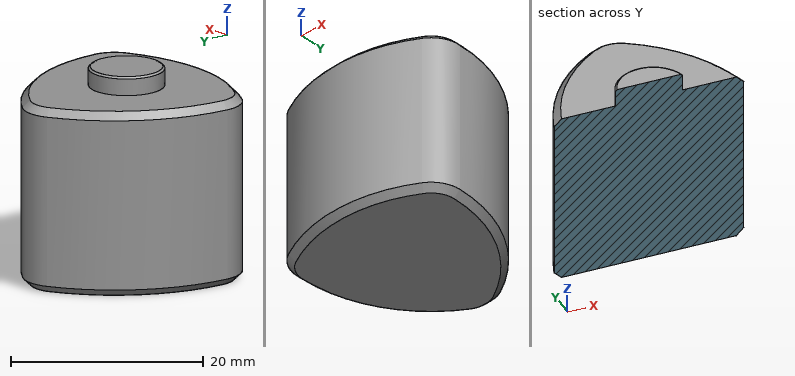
import cadquery as cq
import math

body_width = 23.1
corner_radius = 4.1
body_height = 20.0
body_chamfer = 0.8
pin_diameter = 8.0
pin_height = 2.0
pin_chamfer = 0.2

corner_spacing = body_width - 2 * corner_radius
corner_distance = corner_spacing / math.sqrt(3)
side_radius = body_width - corner_radius

corner_angles = [90, 210, 330]
half_side_angle = 30


def polar(center, radius, angle):
    """Point at a given radius and angle (degrees) from a center."""
    turn = math.radians(angle)
    return (center[0] + radius * math.cos(turn), center[1] + radius * math.sin(turn))


def rounded_reuleaux():
    """Closed outline of alternating corner and side arcs, counterclockwise."""
    centers = [polar((0, 0), corner_distance, angle) for angle in corner_angles]
    outline = cq.Workplane("XY").moveTo(
        *polar(centers[0], corner_radius, corner_angles[0] - half_side_angle)
    )
    for index, angle in enumerate(corner_angles):
        center = centers[index]
        opposite = centers[(index + 2) % 3]
        side_middle = corner_angles[(index + 2) % 3] + 180
        outline = outline.threePointArc(
            polar(center, corner_radius, angle),
            polar(center, corner_radius, angle + half_side_angle),
        ).threePointArc(
            polar(opposite, side_radius, side_middle),
            polar(opposite, side_radius, side_middle + half_side_angle),
        )
    return outline.close()


def make_body():
    """Prism with both end faces chamfered all round."""
    return rounded_reuleaux().extrude(body_height).faces("<Z or >Z").chamfer(body_chamfer)


def make_pin():
    """Short round pin on the top face, with a chamfered rim."""
    pin = cq.Workplane("XY").workplane(offset=body_height)
    return pin.circle(pin_diameter / 2).extrude(pin_height).faces(">Z").chamfer(pin_chamfer)


result = make_body().union(make_pin())